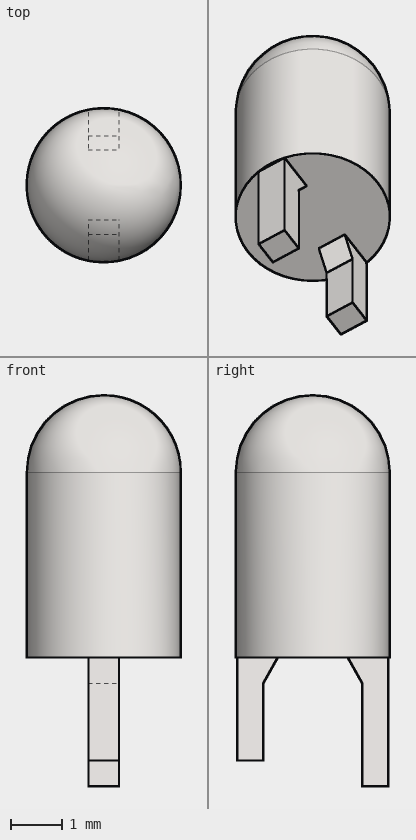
import cadquery as cq
import math

body_radius = 1.5
cylinder_height = 3.6
dome_top = cylinder_height + body_radius

lead_width_x = 0.6
lead_outer_y = math.sqrt(body_radius**2 - (lead_width_x / 2) ** 2)
lead_inner_y = 0.96
flare_inner_y = 0.68
flare_height = 0.5
long_lead_length = 2.5
short_lead_length = 2.0


def make_body():
    """Revolve the half profile of the cylinder and dome about the Z axis."""
    dome_mid = body_radius * math.sqrt(0.5)
    return (
        cq.Workplane("XZ")
        .lineTo(body_radius, 0)
        .lineTo(body_radius, cylinder_height)
        .threePointArc((dome_mid, cylinder_height + dome_mid), (0, dome_top))
        .close()
        .revolve(360, (0, 0, 0), (0, 1, 0))
    )


def make_lead(side, length):
    """Lead hanging below the body on the +Y (side = 1) or -Y (side = -1) side."""
    return (
        cq.Workplane("YZ")
        .polyline([
            (side * lead_outer_y, 0),
            (side * lead_outer_y, -length),
            (side * lead_inner_y, -length),
            (side * lead_inner_y, -flare_height),
            (side * flare_inner_y, 0),
        ])
        .close()
        .extrude(lead_width_x / 2, both=True)
    )


long_lead = make_lead(1, long_lead_length)
short_lead = make_lead(-1, short_lead_length)
result = make_body().union(long_lead).union(short_lead)